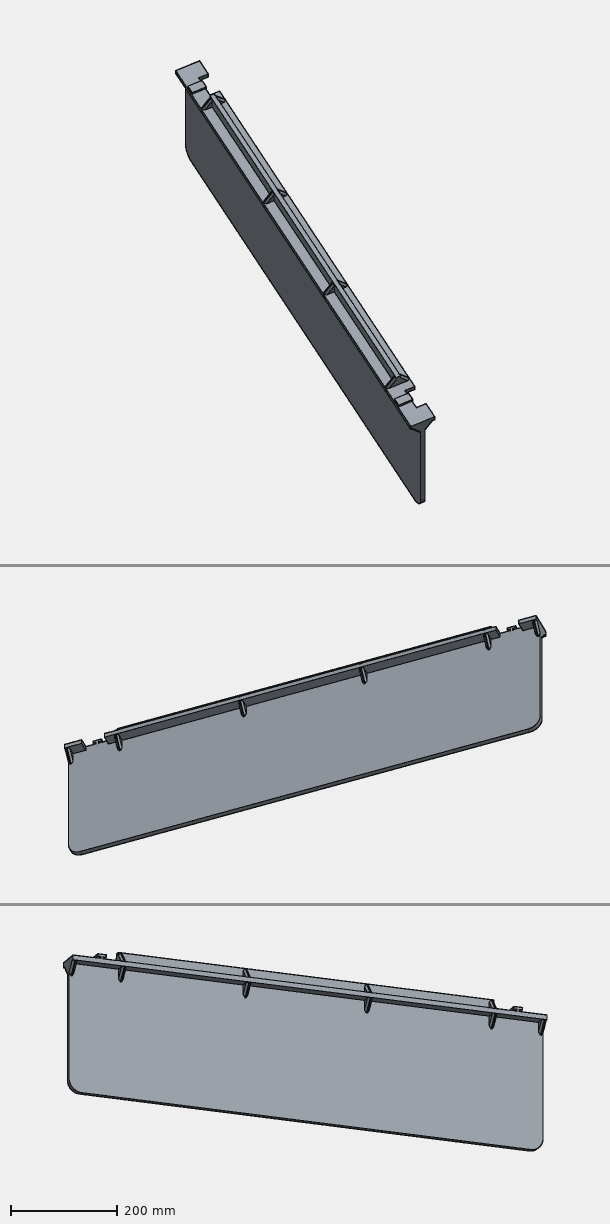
import cadquery as cq

length = 960.0
depth = 51.0
height = 289.0

blade_thick = 10.0
corner_radius = 25.0

flange_thick = 10.0
rail_height = 24.0
rail_length = 761.0

gusset_width = 10.0
gusset_chamfer = 4.0
gusset_drop = 25.0
middle_gusset_x = 123.0

notch_width = 46.0
notch_offset = 59.0
tab_width = 17.0
tab_height = 9.0
tab_cap_thick = 5.0
tab_stem_width = 5.0

half_depth = depth / 2
half_blade = blade_thick / 2
flange_top = height - rail_height
flange_bottom = flange_top - flange_thick
notch_x = length / 2 - notch_offset
rail_gusset_x = (rail_length - gusset_width) / 2
end_gusset_x = (length - gusset_width) / 2


def block(x_size, y_range, z_range, x_center=0.0):
    """Box centred on x_center, spanning the given Y and Z ranges."""
    y_min, y_max = y_range
    z_min, z_max = z_range
    box = cq.Workplane("XY").box(x_size, y_max - y_min, z_max - z_min, centered=(True, False, False))
    return box.translate((x_center, y_min, z_min))


def gusset(x_center, z_base, z_tip, side):
    """Triangle from the flange face at z_base to the blade at z_tip, with chamfered sloping edges."""
    outline = [
        (0, z_base),
        (side * half_depth, z_base),
        (side * half_blade, z_tip),
        (0, z_tip),
    ]
    wedge = cq.Workplane("YZ").polyline(outline).close().extrude(gusset_width / 2, both=True)
    slope_direction = cq.Vector(0, side * (half_depth - half_blade), z_base - z_tip)
    wedge = wedge.edges(cq.selectors.ParallelDirSelector(slope_direction)).chamfer(gusset_chamfer)
    return wedge.translate((x_center, 0, 0))


def tab(x_center):
    """T-shaped tab: a narrow stem on the flange carrying a wider flat cap."""
    tab_top = flange_top + tab_height
    y_range = (-half_depth, half_blade)
    stem = block(tab_stem_width, y_range, (flange_top, tab_top), x_center)
    cap = block(tab_width, y_range, (tab_top - tab_cap_thick, tab_top), x_center)
    return stem.union(cap)


blade = block(length, (-half_blade, half_blade), (0, flange_top))
blade = blade.edges("|Y and <Z").fillet(corner_radius)
rail = block(rail_length, (-half_blade, half_blade), (flange_bottom, height))
flange = block(length, (-half_depth, half_depth), (flange_bottom, flange_top))
result = blade.union(rail).union(flange)

for x in (-notch_x, notch_x):
    result = result.cut(block(notch_width, (half_blade, half_depth), (flange_bottom, flange_top), x))
    result = result.union(tab(x))

rail_gussets = [-rail_gusset_x, -middle_gusset_x, middle_gusset_x, rail_gusset_x]
for side in (-1, 1):
    for x in rail_gussets:
        result = result.union(gusset(x, flange_top, height, side))
    for x in rail_gussets + [-end_gusset_x, end_gusset_x]:
        result = result.union(gusset(x, flange_bottom, flange_bottom - gusset_drop, side))